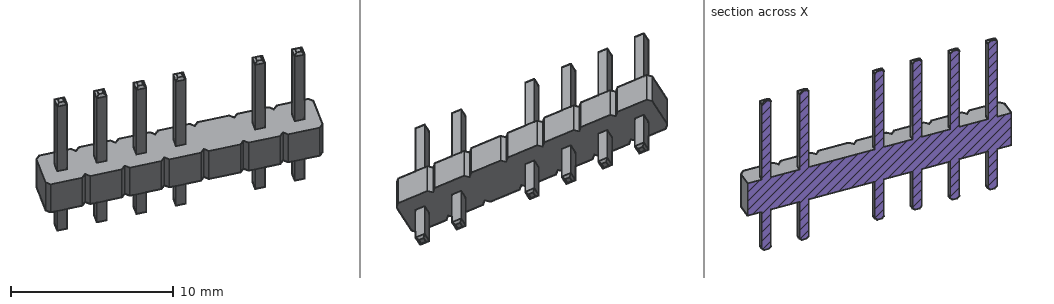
import cadquery as cq

PITCH = 2.54
POSITIONS = 7
EMPTY_POSITION = 4
BODY_HEIGHT = PITCH
CORNER_CHAMFER = PITCH / 10

PIN_WIDTH = 0.64
PIN_ABOVE = 6.0
PIN_BELOW = 3.0
TIP_HEIGHT = 0.16
TIP_INSET = 0.16

PIN_LENGTH = PIN_BELOW + BODY_HEIGHT + PIN_ABOVE


def position_y(index):
    """Y of a position, with the row centred on the origin."""
    return (index - (POSITIONS - 1) / 2) * PITCH


def housing_block():
    """Square block with chamfered vertical edges, standing on Z = 0."""
    return (
        cq.Workplane("XY")
        .box(PITCH, PITCH, BODY_HEIGHT, centered=(True, True, False))
        .edges("|Z")
        .chamfer(CORNER_CHAMFER)
    )


def pin():
    """Square pin through the housing, tapered at both ends."""
    return (
        cq.Workplane("XY")
        .workplane(offset=-PIN_BELOW)
        .rect(PIN_WIDTH, PIN_WIDTH)
        .extrude(PIN_LENGTH)
        .faces("<Z or >Z")
        .edges()
        .chamfer(TIP_HEIGHT, TIP_INSET)
    )


def header():
    """Housing blocks joined in a row, with a pin in every filled position."""
    body = cq.Workplane("XY")
    for index in range(POSITIONS):
        offset = (0, position_y(index), 0)
        body = body.union(housing_block().translate(offset))
        if index != EMPTY_POSITION:
            body = body.union(pin().translate(offset))
    return body


result = header()